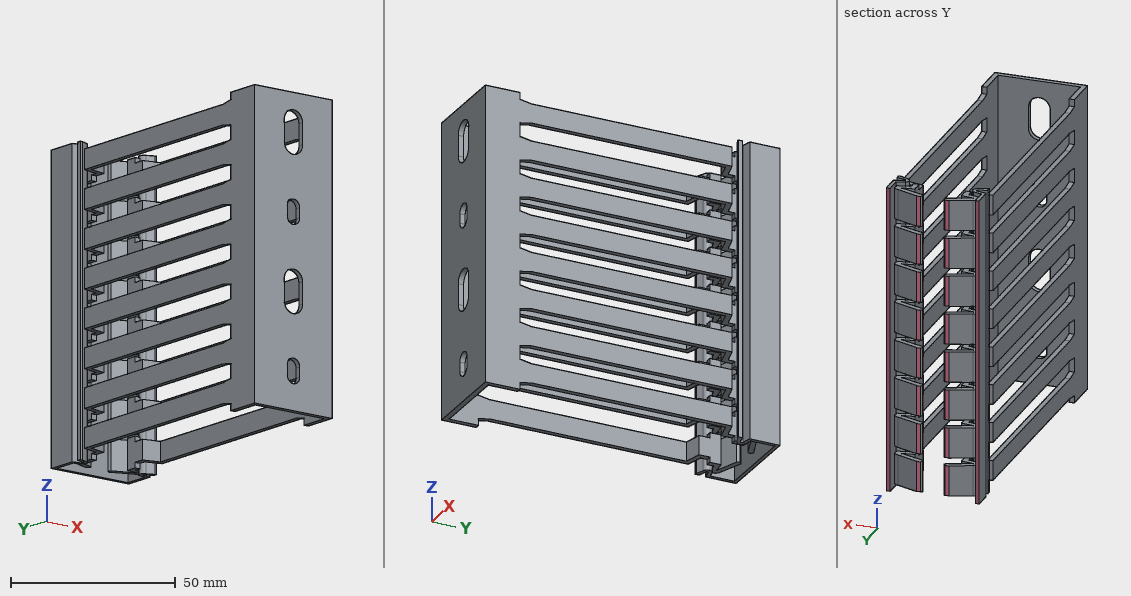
import cadquery as cq

WIDTH = 30.0
DEPTH = 100.0
HEIGHT = 100.0
HALF_WIDTH = WIDTH / 2

WALL = 1.7
FLOOR = 1.8
WALL_INNER_X = HALF_WIDTH - WALL
SHOULDER_OUTER_Y = 83.7
SHOULDER_INNER_Y = 82.3
NECK_OUTER_X = 9.4
NECK_INNER_X = 7.5
NECK_OUTER_START_Y = 85.2
NECK_INNER_START_Y = 83.7
NECK_OUTER_END_Y = 89.6
NECK_INNER_END_Y = 91.2

HOOK_X = 13.7
HOOK_SIDE_END_Y = 92.4
HOOK_BEND_MIDDLE = (13.2, 92.9)
HOOK_BEND_END = (12.1, 93.4)
HOOK_CROTCH = (11.7, 91.8)

TONGUE_UPPER_CORNER = (4.3, 96.4)
TONGUE_TIP = (3.4, 95.5)
TONGUE_LOWER_CORNER = (3.8, 94.6)

BEARING_OUTER = (HOOK_X, 90.7)
BEARING_INNER = (11.0, 90.0)

FINGER_COUNT = 8
FINGER_PITCH = HEIGHT / FINGER_COUNT
GAP = 6.0
GAP_NARROWING = 0.7
GAP_ROOT_Y = 11.8
GAP_TAPER_Y = 15.6
HEAD_GAP = 2.5
HEAD_Y = 87.4

SLOT_COUNT = 4
SLOT_PITCH = HEIGHT / SLOT_COUNT
SMALL_SLOT_LENGTH = 8.0
SMALL_SLOT_WIDTH = 4.8
LARGE_SLOT_LENGTH = 14.0
LARGE_SLOT_WIDTH = 7.0

LID_WALL = 1.2
LID_INNER_X = HALF_WIDTH - LID_WALL
LID_INNER_Y = DEPTH - LID_WALL
LID_SIDE_END_Y = 89.7

LIP_END_X = 14.7
LIP_END_UPPER_Y = 87.4
LIP_END_LOWER_Y = 86.0
LIP_END_LOWER_X = 14.0
INNER_BEND_START = (12.0, 89.0)
INNER_BEND_MIDDLE = (11.5, 88.6)
INNER_BEND_END = (12.0, 88.1)
OUTER_BEND_START = (11.5, 87.1)
OUTER_BEND_MIDDLE = (10.3, 88.2)


def extrude_mirrored(half_outline):
    """Extrude the +X half of a cross-section and join it to its mirror image."""
    half = half_outline.close().extrude(HEIGHT)
    return half.union(half.mirror("YZ")).clean()


def make_channel():
    half_outline = (
        cq.Workplane("XY")
        .lineTo(HALF_WIDTH, 0)
        .lineTo(HALF_WIDTH, SHOULDER_OUTER_Y)
        .lineTo(NECK_OUTER_X, NECK_OUTER_START_Y)
        .lineTo(NECK_OUTER_X, NECK_OUTER_END_Y)
        .lineTo(*BEARING_INNER)
        .lineTo(*BEARING_OUTER)
        .lineTo(HOOK_X, HOOK_SIDE_END_Y)
        .threePointArc(HOOK_BEND_MIDDLE, HOOK_BEND_END)
        .lineTo(*TONGUE_UPPER_CORNER)
        .lineTo(*TONGUE_TIP)
        .lineTo(*TONGUE_LOWER_CORNER)
        .lineTo(*HOOK_CROTCH)
        .lineTo(NECK_INNER_X, NECK_INNER_END_Y)
        .lineTo(NECK_INNER_X, NECK_INNER_START_Y)
        .lineTo(WALL_INNER_X, SHOULDER_INNER_Y)
        .lineTo(WALL_INNER_X, FLOOR)
        .lineTo(0, FLOOR)
    )
    return extrude_mirrored(half_outline)


def finger_gap(center_z):
    """Cutter through both walls: tapered root, straight middle, tight between the heads."""
    half_gap = GAP / 2
    half_root = half_gap - GAP_NARROWING
    half_head = HEAD_GAP / 2
    upper_edge = [
        (GAP_ROOT_Y, half_root),
        (GAP_TAPER_Y, half_gap),
        (HEAD_Y, half_gap),
        (HEAD_Y, half_head),
        (DEPTH, half_head),
    ]
    lower_edge = [(y, -z) for y, z in reversed(upper_edge)]
    return (
        cq.Workplane("YZ")
        .center(0, center_z)
        .polyline(upper_edge + lower_edge)
        .close()
        .extrude(HALF_WIDTH, both=True)
    )


def floor_slot(center_z, length, width):
    return (
        cq.Workplane("XZ")
        .center(0, center_z)
        .slot2D(length, width, 90)
        .extrude(-FLOOR)
    )


def make_base():
    base = make_channel()
    for i in range(FINGER_COUNT + 1):
        base = base.cut(finger_gap(i * FINGER_PITCH))
    for i in range(SLOT_COUNT):
        center_z = (i + 0.5) * SLOT_PITCH
        if i % 2 == 0:
            slot = floor_slot(center_z, SMALL_SLOT_LENGTH, SMALL_SLOT_WIDTH)
        else:
            slot = floor_slot(center_z, LARGE_SLOT_LENGTH, LARGE_SLOT_WIDTH)
        base = base.cut(slot)
    return base


def make_lid():
    half_outline = (
        cq.Workplane("XY")
        .moveTo(0, DEPTH)
        .lineTo(HALF_WIDTH, DEPTH)
        .lineTo(HALF_WIDTH, LID_SIDE_END_Y)
        .lineTo(*INNER_BEND_START)
        .threePointArc(INNER_BEND_MIDDLE, INNER_BEND_END)
        .lineTo(LIP_END_X, LIP_END_UPPER_Y)
        .lineTo(LIP_END_X, LIP_END_LOWER_Y)
        .lineTo(LIP_END_LOWER_X, LIP_END_LOWER_Y)
        .lineTo(*OUTER_BEND_START)
        .threePointArc(OUTER_BEND_MIDDLE, BEARING_INNER)
        .lineTo(*BEARING_OUTER)
        .lineTo(LID_INNER_X, BEARING_OUTER[1])
        .lineTo(LID_INNER_X, LID_INNER_Y)
        .lineTo(0, LID_INNER_Y)
    )
    return extrude_mirrored(half_outline)


base = make_base()
lid = make_lid()

result = cq.Compound.makeCompound([base.solids().val(), lid.solids().val()])